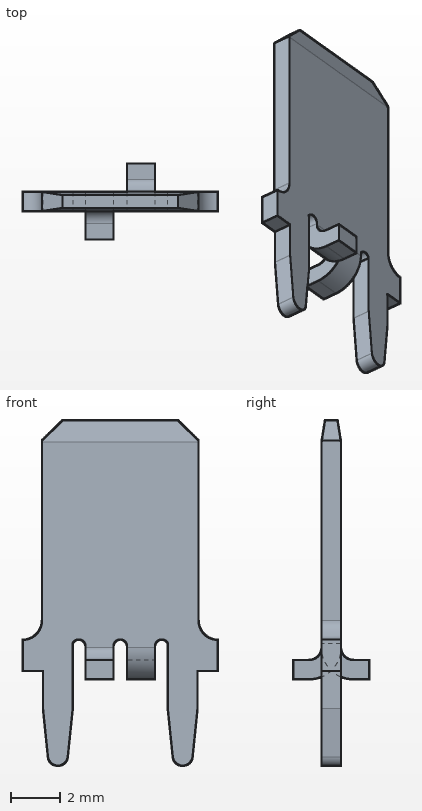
import cadquery as cq
import math

height = 14.02
thickness = 0.8
blade_half_width = 3.18

lead_in_height = 0.88
corner_height = 0.83
top_half_width = 2.34
top_thickness = 0.52

shoulder_half_width = 3.96
shoulder_bottom = 3.84
shoulder_top = 5.12
shoulder_radius = shoulder_half_width - blade_half_width

leg_outer = 3.14
leg_inner = 1.92
leg_center = (leg_outer + leg_inner) / 2
taper_top = 2.33
tip_height = 0.35
tip_half_width = 0.4

slot_radius = 0.27
slot_pitch = 1.68
slot_center_z = shoulder_top - slot_radius
tab_width = slot_pitch - 2 * slot_radius
bend_top = 4.8
bend_radius = 0.49
tab_reach = 1.54


def make_plate():
    """Blade, shoulders and legs, with the gap between the legs open up to the tab roots."""
    fillet_offset = shoulder_radius * (1 - math.sqrt(0.5))
    fillet_mid = (blade_half_width + fillet_offset, shoulder_top + fillet_offset)
    half = (
        cq.Workplane("XZ", origin=(0, thickness / 2, 0))
        .moveTo(0, height)
        .lineTo(top_half_width, height)
        .lineTo(blade_half_width, height - corner_height)
        .lineTo(blade_half_width, shoulder_top + shoulder_radius)
        .threePointArc(fillet_mid, (shoulder_half_width, shoulder_top))
        .lineTo(shoulder_half_width, shoulder_bottom)
        .lineTo(leg_outer, shoulder_bottom)
        .lineTo(leg_outer, taper_top)
        .lineTo(leg_center + tip_half_width, tip_height)
        .threePointArc((leg_center, 0), (leg_center - tip_half_width, tip_height))
        .lineTo(leg_inner, taper_top)
        .lineTo(leg_inner, bend_top)
        .lineTo(0, bend_top)
        .close()
        .extrude(thickness)
    )
    return half.union(half.mirror("YZ"))


def make_slots():
    """Round-topped reliefs beside the tabs, trimmed flush with the inner leg faces."""
    slots = (
        cq.Workplane("XZ", origin=(0, thickness / 2, 0))
        .pushPoints([(x, slot_center_z) for x in (-slot_pitch, 0, slot_pitch)])
        .circle(slot_radius)
        .extrude(thickness)
    )
    side_height = slot_center_z - bend_top
    sides = (
        cq.Workplane("XY", origin=(0, 0, bend_top))
        .pushPoints([(x, 0) for x in (-slot_pitch, 0, slot_pitch)])
        .rect(2 * slot_radius, thickness)
        .extrude(side_height)
    )
    gap = cq.Workplane("XY").box(2 * leg_inner, thickness, height)
    return slots.union(sides).intersect(gap)


def cut_lead_in(plate):
    """Slope both broad faces of the blade toward its top edge."""
    for side in (-1, 1):
        wedge = (
            cq.Workplane("YZ", origin=(-blade_half_width, 0, 0))
            .moveTo(side * thickness / 2, height - lead_in_height)
            .lineTo(side * thickness / 2, height)
            .lineTo(side * top_thickness / 2, height)
            .close()
            .extrude(2 * blade_half_width)
        )
        plate = plate.cut(wedge)
    return plate


def make_tab(center_x, side):
    """Tab bent out of the plate by a right angle toward side * Y."""
    face = thickness / 2
    outer_radius = bend_radius + thickness
    bend_y = face + bend_radius
    diagonal = math.sqrt(0.5)
    inner_mid = (side * (bend_y - bend_radius * diagonal), bend_top - bend_radius * diagonal)
    outer_mid = (side * (bend_y - outer_radius * diagonal), bend_top - outer_radius * diagonal)
    return (
        cq.Workplane("YZ", origin=(center_x - tab_width / 2, 0, 0))
        .moveTo(side * face, bend_top)
        .threePointArc(inner_mid, (side * bend_y, bend_top - bend_radius))
        .lineTo(side * tab_reach, bend_top - bend_radius)
        .lineTo(side * tab_reach, bend_top - outer_radius)
        .lineTo(side * bend_y, bend_top - outer_radius)
        .threePointArc(outer_mid, (-side * face, bend_top))
        .close()
        .extrude(tab_width)
    )


result = cut_lead_in(make_plate().cut(make_slots()))
for side in (-1, 1):
    result = result.union(make_tab(side * slot_pitch / 2, side))